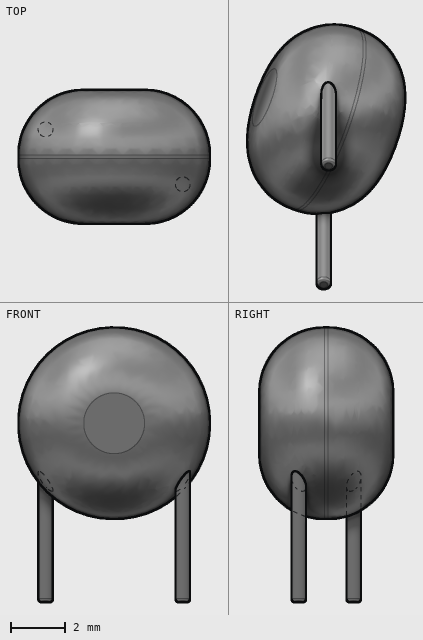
import cadquery as cq

body_diameter = 7.0
body_thickness = 4.9
rim_band_width = 0.12
rim_radius = (body_thickness - rim_band_width) / 2

lead_diameter = 0.54
lead_pitch_x = 5.0
lead_pitch_y = 2.0
lead_tip_fillet = lead_diameter / 4
overall_height = 10.03
lead_bottom_z = body_diameter / 2 - overall_height
lead_top_z = 0.0


def make_body():
    """Disc centred on the origin with both rims rounded."""
    disc = (
        cq.Workplane("XZ", origin=(0, body_thickness / 2, 0))
        .circle(body_diameter / 2)
        .extrude(body_thickness)
    )
    return disc.edges("%CIRCLE").fillet(rim_radius)


def make_lead(x, y):
    """Round wire with a rounded lower tip, rising into the body."""
    wire = (
        cq.Workplane("XY", origin=(x, y, lead_bottom_z))
        .circle(lead_diameter / 2)
        .extrude(lead_top_z - lead_bottom_z)
    )
    return wire.faces("<Z").edges().fillet(lead_tip_fillet)


result = make_body()
for side in (-1, 1):
    result = result.union(make_lead(side * lead_pitch_x / 2, -side * lead_pitch_y / 2))